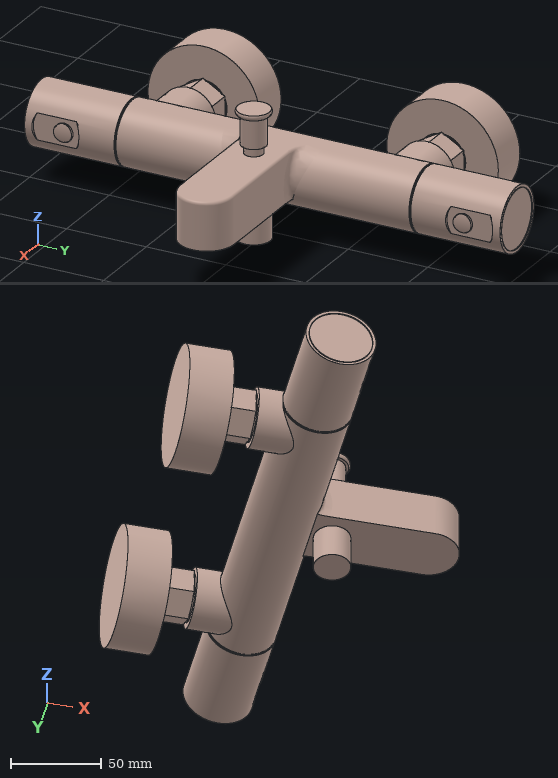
import cadquery as cq
import math


bar_length = 298.5
bar_radius = 40.0 / 2
end_recess_radius = 36.0 / 2
end_recess_depth = 0.5
handle_joint_y = 92.5
joint_groove_width = 1.0
joint_groove_depth = 0.5

grip_y = 129.8
grip_radius = 29.5 / 2
grip_depth = 1.8
button_y = 125.3
button_radius = 11.3 / 2

connection_y = 75.0
back_x = -76.7
rosette_radius = 70.0 / 2
rosette_thickness = 25.5
washer_radius = 14.5
washer_thickness = 1.0
hex_across_flats = 27.8
collar_radius = 35.0 / 2
collar_start_x = -33.0
neck_length = 1.0

lever_top_z = bar_radius
lever_bottom_z = -9.8
lever_tip_x = 101.8
lever_half_width = 17.0
lever_edge_round = 2.0
flare_reach = 6.3
flare_end_y = 24.2
flare_rise = 12.2
flare_sink = 0.05
flare_fullness = 0.82
flare_root_depth = 2.7
flare_angles = range(-30, 106, 15)
outlet_x = 29.8
outlet_radius = 21.0 / 2
outlet_bottom_z = -31.5

knob_neck_radius = 11.3 / 2
knob_neck_top_z = 25.5
knob_stem_radius = 15.2 / 2
knob_stem_top_z = 43.5
flange_bottom_radius = 9.3
flange_radius = 20.5 / 2
flange_mid_z = 45.5
flange_top_radius = 19.7 / 2
flange_top_z = 47.0
overall_height = 83.5
knob_top_z = overall_height - rosette_radius


def cylinder_y(radius, start_y, end_y):
    """Cylinder about the bar axis from start_y to end_y."""
    return cq.Workplane("XZ", origin=(0, start_y, 0)).circle(radius).extrude(start_y - end_y)


def cylinder_x(radius, start_x, end_x, y):
    """Cylinder parallel to X, at height zero, from start_x to end_x."""
    return cq.Workplane("YZ", origin=(start_x, y, 0)).circle(radius).extrude(end_x - start_x)


def make_bar():
    """Plain round bar with a shallow recess in each end."""
    half_length = bar_length / 2
    bar = cylinder_y(bar_radius, -half_length, half_length)
    for side in (-1, 1):
        recess_floor_y = side * (half_length - end_recess_depth)
        bar = bar.cut(cylinder_y(end_recess_radius, recess_floor_y, side * half_length))
    return bar


def make_joint_groove(side):
    """Thin ring where an end handle meets the middle of the bar."""
    start_y = side * handle_joint_y - joint_groove_width / 2
    end_y = start_y + joint_groove_width
    core = cylinder_y(bar_radius - joint_groove_depth, start_y, end_y)
    return cylinder_y(bar_radius + joint_groove_depth, start_y, end_y).cut(core)


def make_grip_recess(side):
    """Flat-floored round recess with a button left standing in it."""
    floor_x = bar_radius - grip_depth
    outer_x = bar_radius + grip_depth
    recess = cylinder_x(grip_radius, floor_x, outer_x, side * grip_y)
    return recess.cut(cylinder_x(button_radius, floor_x, outer_x, side * button_y))


def make_connection(y):
    """Rosette, washer, hexagon nut, neck and collar of one wall connection."""
    rosette_front_x = back_x + rosette_thickness
    hex_start_x = rosette_front_x + washer_thickness
    hex_end_x = collar_start_x - neck_length
    hex_corner_diameter = hex_across_flats / math.cos(math.pi / 6)
    connection = cylinder_x(rosette_radius, back_x, rosette_front_x, y)
    connection = connection.union(cylinder_x(washer_radius, rosette_front_x, hex_start_x, y))
    nut = (
        cq.Workplane("YZ", origin=(hex_start_x, y, 0))
        .transformed(rotate=(0, 0, 90))
        .polygon(6, hex_corner_diameter)
        .extrude(hex_end_x - hex_start_x)
    )
    connection = connection.union(nut)
    connection = connection.union(cylinder_x(hex_across_flats / 2, hex_end_x, collar_start_x, y))
    return connection.union(cylinder_x(collar_radius, collar_start_x, 0, y))


def flare_section(angle):
    """Concave section of the flare in the half-plane at this angle about the bar axis."""
    radians = math.radians(angle)
    radial = cq.Vector(math.cos(radians), 0, math.sin(radians))
    plane = cq.Plane(origin=(0, 0, 0), xDir=radial, normal=radial.cross(cq.Vector(0, 1, 0)))
    inner_r = bar_radius - flare_root_depth
    outer_r = bar_radius + flare_reach
    inner_y = lever_half_width - flare_root_depth
    end_y = flare_end_y + flare_rise * math.sin(radians)
    edge_r = bar_radius - flare_sink
    bar_control = (edge_r, end_y - flare_fullness * (end_y - lever_half_width))
    lever_control = (outer_r - flare_fullness * (outer_r - edge_r), lever_half_width)
    return (
        cq.Workplane(plane)
        .moveTo(inner_r, inner_y)
        .lineTo(outer_r, inner_y)
        .lineTo(outer_r, lever_half_width)
        .bezier([lever_control, bar_control, (edge_r, end_y)], includeCurrent=True)
        .lineTo(inner_r, end_y)
        .close()
        .wire()
        .val()
    )


def make_flare():
    """Flare on the +Y side of the lever root, trimmed to the height of the lever."""
    blend = cq.Workplane(cq.Solid.makeLoft([flare_section(angle) for angle in flare_angles]))
    reach = bar_length / 2
    trim = (
        cq.Workplane("XY", origin=(0, 0, lever_bottom_z))
        .rect(reach, reach, centered=(False, True))
        .extrude(lever_top_z - lever_bottom_z)
    )
    return blend.intersect(trim)


def make_lever():
    """Flat lever with a round tip and a flared root, its top edge rounded all along."""
    tip_centre_x = lever_tip_x - lever_half_width
    arm = (
        cq.Workplane("XY", origin=(0, 0, lever_bottom_z))
        .moveTo(0, -lever_half_width)
        .lineTo(tip_centre_x, -lever_half_width)
        .threePointArc((lever_tip_x, 0), (tip_centre_x, lever_half_width))
        .lineTo(0, lever_half_width)
        .close()
        .extrude(lever_top_z - lever_bottom_z)
    )
    flare = make_flare()
    lever = arm.union(flare).union(flare.mirror("XZ"))
    return lever.faces(">Z").edges("not <X").fillet(lever_edge_round)


def make_outlet():
    """Round outlet below the lever."""
    return (
        cq.Workplane("XY", origin=(outlet_x, 0, outlet_bottom_z))
        .circle(outlet_radius)
        .extrude(lever_bottom_z - outlet_bottom_z)
    )


def make_mixer():
    """Bar with its grooves and grips, wall connections, lever and outlet as one body."""
    mixer = make_bar()
    for side in (-1, 1):
        mixer = mixer.cut(make_joint_groove(side)).cut(make_grip_recess(side))
        mixer = mixer.union(make_connection(side * connection_y))
    return mixer.union(make_lever()).union(make_outlet())


def make_knob():
    """Turned knob: neck, stem, round-edged flange and shallow dome."""
    dome_height = knob_top_z - flange_top_z
    dome_radius = (flange_top_radius**2 + dome_height**2) / (2 * dome_height)
    half_angle = math.asin(flange_top_radius / dome_radius) / 2
    dome_mid = (
        dome_radius * math.sin(half_angle),
        knob_top_z - dome_radius * (1 - math.cos(half_angle)),
    )
    return (
        cq.Workplane("XZ", origin=(outlet_x, 0, 0))
        .moveTo(0, lever_top_z)
        .lineTo(knob_neck_radius, lever_top_z)
        .lineTo(knob_neck_radius, knob_neck_top_z)
        .lineTo(knob_stem_radius, knob_neck_top_z)
        .lineTo(knob_stem_radius, knob_stem_top_z)
        .lineTo(flange_bottom_radius, knob_stem_top_z)
        .threePointArc((flange_radius, flange_mid_z), (flange_top_radius, flange_top_z))
        .threePointArc(dome_mid, (0, knob_top_z))
        .close()
        .revolve(360, (0, 0, 0), (0, 1, 0))
    )


mixer = make_mixer()
knob = make_knob()
result = cq.Compound.makeCompound([mixer.solids().val(), knob.val()])